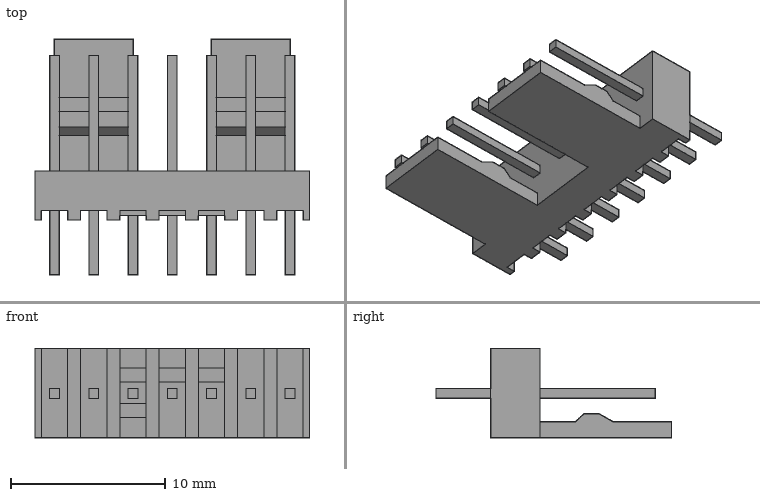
import cadquery as cq


length = 17.78
depth = 3.2
height = 5.8
pin_count = 7
pitch = length / pin_count

slot_width = 1.69
slot_depth = 0.62

pin_size = 0.64
pin_front = 3.54
pin_back_y = 10.67
pin_z = 2.88

tab_width = 5.14
tab_thickness = 1.05
tab_end_y = 11.72
tab_center_x = 2 * pitch
ridge_top_z = 1.56
ridge_front_y = 5.5
ridge_top_front_y = 6.05
ridge_top_back_y = 7.02
ridge_back_y = 7.93

bar_height = 0.9
bar_thickness = 0.32
upper_bar_z = 3.61
lower_bar_z = 1.32
upper_bar_slots = (2, 3, 4)
lower_bar_slot = 2

pin_xs = [(i - (pin_count - 1) / 2) * pitch for i in range(pin_count)]


def block(center_x, width, y_min, y_max, z_min, z_max):
    """Box centred on center_x and spanning the given Y and Z ranges."""
    return cq.Workplane("XY").box(
        width, y_max - y_min, z_max - z_min, centered=(True, False, False)
    ).translate((center_x, y_min, z_min))


def pin(center_x):
    """Square pin passing straight through the housing."""
    half = pin_size / 2
    return block(center_x, pin_size, -pin_front, pin_back_y, pin_z - half, pin_z + half)


def tab(center_x):
    """Flat tab with a sloped latch ridge, rooted in the back of the housing."""
    profile = [
        (depth, 0),
        (tab_end_y, 0),
        (tab_end_y, tab_thickness),
        (ridge_back_y, tab_thickness),
        (ridge_top_back_y, ridge_top_z),
        (ridge_top_front_y, ridge_top_z),
        (ridge_front_y, tab_thickness),
        (depth, tab_thickness),
    ]
    start_x = center_x - tab_width / 2
    return cq.Workplane("YZ", origin=(start_x, 0, 0)).polyline(profile).close().extrude(tab_width)


def slot_bar(center_x, z_min):
    """Bar across a slot, standing proud of its floor."""
    return block(
        center_x, slot_width, slot_depth - bar_thickness, slot_depth, z_min, z_min + bar_height
    )


result = block(0, length, 0, depth, 0, height)

for x in pin_xs:
    result = result.cut(block(x, slot_width, 0, slot_depth, 0, height))

for slot in upper_bar_slots:
    result = result.union(slot_bar(pin_xs[slot], upper_bar_z))
result = result.union(slot_bar(pin_xs[lower_bar_slot], lower_bar_z))

for x in pin_xs:
    result = result.union(pin(x))

for x in (-tab_center_x, tab_center_x):
    result = result.union(tab(x))